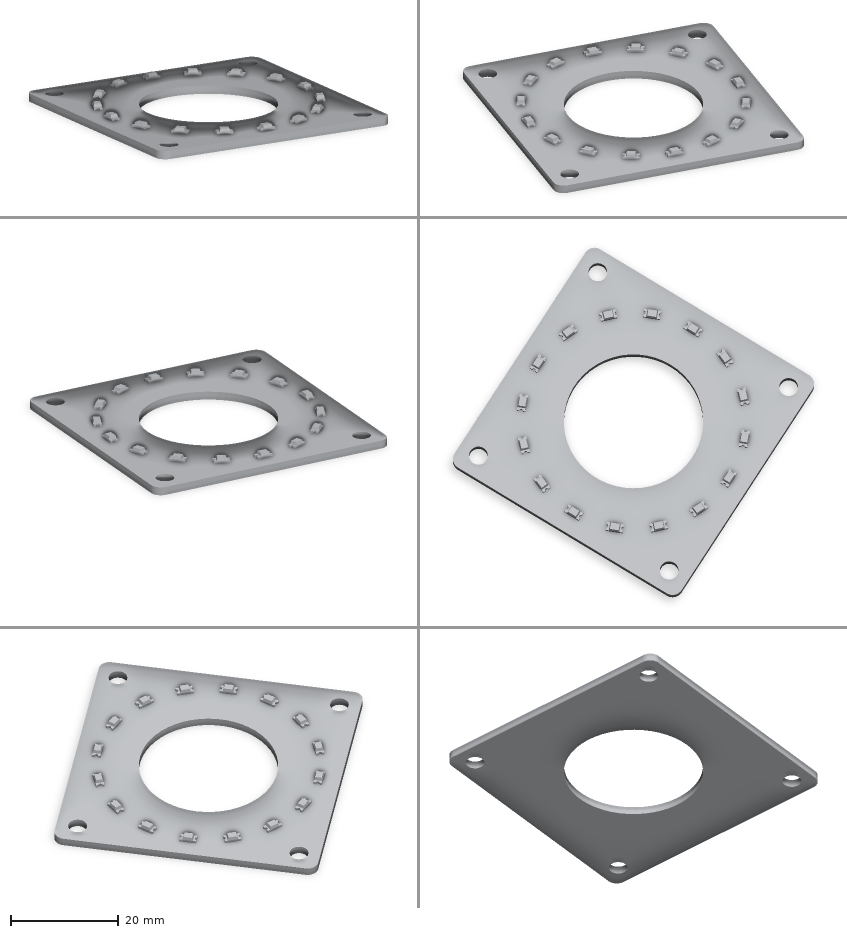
import cadquery as cq

board_side = 50.0
board_thickness = 1.6
corner_radius = 2.0
window_diameter = 26.0
mounting_hole_diameter = 3.5
mounting_hole_offset = 21.0

led_count = 16
led_ring_radius = 21.0
led_length = 3.2
led_width = 1.6
led_height = 1.1
led_base_height = 0.5
lens_length = 2.0
lens_draft_angle = 15.0
terminal_notch_diameter = 0.7


def make_board():
    """Rounded square plate with a central window and four corner holes."""
    hole_spacing = 2 * mounting_hole_offset
    return (
        cq.Workplane("XY")
        .rect(board_side, board_side)
        .extrude(board_thickness)
        .edges("|Z")
        .fillet(corner_radius)
        .faces(">Z")
        .workplane()
        .hole(window_diameter)
        .faces(">Z")
        .workplane()
        .rect(hole_spacing, hole_spacing, forConstruction=True)
        .vertices()
        .hole(mounting_hole_diameter)
    )


def make_led():
    """LED on the board top at the origin: base with half-round end notches, and a drafted lens."""
    base = (
        cq.Workplane("XY")
        .workplane(offset=board_thickness)
        .rect(led_length, led_width)
        .extrude(led_base_height)
    )
    notches = (
        cq.Workplane("XY")
        .workplane(offset=board_thickness)
        .pushPoints([(-led_length / 2, 0), (led_length / 2, 0)])
        .circle(terminal_notch_diameter / 2)
        .extrude(led_base_height)
    )
    lens = (
        cq.Workplane("XY")
        .workplane(offset=board_thickness + led_base_height)
        .rect(lens_length, led_width)
        .extrude(led_height - led_base_height, taper=lens_draft_angle)
    )
    return base.cut(notches).union(lens)


result = make_board()
first_led = make_led().translate((0, led_ring_radius, 0))
for index in range(led_count):
    angle = index * 360 / led_count
    result = result.union(first_led.rotate((0, 0, 0), (0, 0, 1), angle))